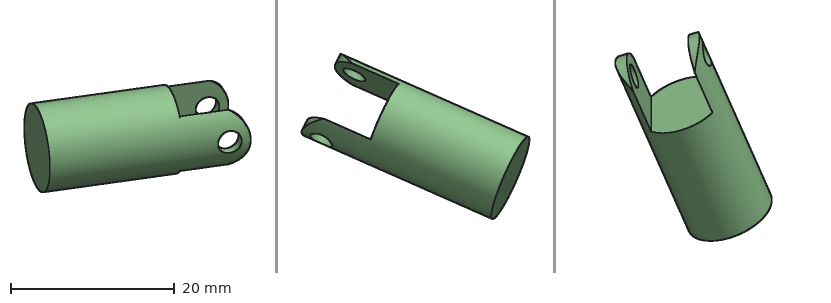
import cadquery as cq

diameter = 11.0
total_length = 25.65
body_length = 17.0
slot_width = 8.0
tip_radius = 4.15
hole_diameter = 3.0
hole_to_tip = 2.67

radius = diameter / 2
fork_length = total_length - body_length


def make_round_bar():
    """Full-length cylinder along +Y, starting at Y = 0."""
    return cq.Workplane("XZ").circle(radius).extrude(-total_length)


def make_slot():
    """Full-height gap that splits the far end into two ears."""
    return cq.Workplane("XY").box(slot_width, fork_length, diameter).translate(
        (0, body_length + fork_length / 2, 0)
    )


def make_ear_envelope():
    """Side profile, extruded across X, that rounds the ear tips."""
    arc_center = total_length - tip_radius
    return (
        cq.Workplane("YZ")
        .moveTo(0, -radius)
        .lineTo(body_length, -radius)
        .lineTo(body_length, -tip_radius)
        .lineTo(arc_center, -tip_radius)
        .threePointArc((total_length, 0), (arc_center, tip_radius))
        .lineTo(body_length, tip_radius)
        .lineTo(body_length, radius)
        .lineTo(0, radius)
        .close()
        .extrude(radius, both=True)
    )


def make_pin_hole():
    """Cross hole along X through both ears."""
    return (
        cq.Workplane("YZ")
        .center(total_length - hole_to_tip, 0)
        .circle(hole_diameter / 2)
        .extrude(radius, both=True)
    )


result = make_round_bar().cut(make_slot()).intersect(make_ear_envelope()).cut(make_pin_hole())